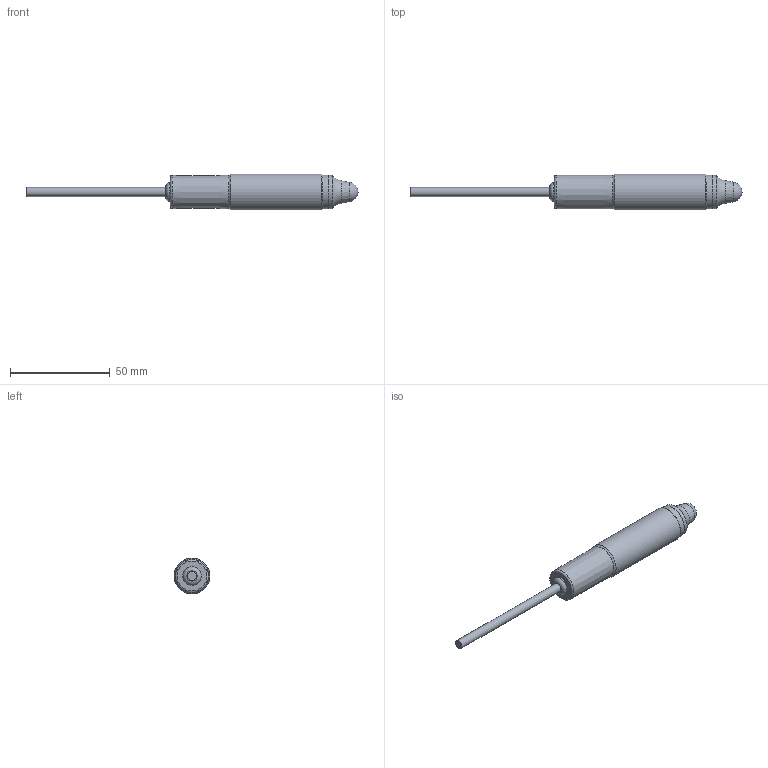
import cadquery as cq
import math

overall_length = 166.36

rod_radius = 4.53 / 2

collar_start = 70.0
collar_face_radius = 5.3 / 2
collar_radius = 9.3 / 2
collar_rounding = collar_radius - collar_face_radius

sleeve_start = 72.4
sleeve_face_radius = 15.0 / 2
sleeve_front_radius = 16.64 / 2
sleeve_rounding = sleeve_front_radius - sleeve_face_radius
sleeve_back_radius = 16.8 / 2

grip_start = 101.5
grip_end = 148.6
grip_radius = 18.0 / 2
grip_front_bevel_length = 1.0
grip_back_bevel_length = 0.6

tail_radius = 16.8 / 2
tail_band_end = 151.5
tail_end = 153.5
tail_end_radius = 16.6 / 2

nose_radius = 5.0
neck_start = 158.0
neck_half_angle = math.radians(10)

nose_center = overall_length - nose_radius
neck_end = nose_center + nose_radius * math.sin(neck_half_angle)
neck_end_radius = nose_radius * math.cos(neck_half_angle)
neck_start_radius = neck_end_radius + (neck_end - neck_start) * math.tan(neck_half_angle)


def quarter_round(profile, start_x, start_radius, rounding):
    """Add a convex quarter arc from an end face to a side that is parallel to the axis."""
    half_way = rounding * math.sin(math.radians(45))
    middle = (start_x + rounding - half_way, start_radius + half_way)
    end = (start_x + rounding, start_radius + rounding)
    return profile.threePointArc(middle, end)


def add_rod_and_collar(profile):
    """Add the rod's end face and side, then the collar."""
    profile = profile.lineTo(0, rod_radius).lineTo(collar_start, rod_radius)
    profile = profile.lineTo(collar_start, collar_face_radius)
    profile = quarter_round(profile, collar_start, collar_face_radius, collar_rounding)
    return profile.lineTo(sleeve_start, collar_radius)


def add_sleeve(profile):
    """Add the sleeve's end face, its rounded rim and its side."""
    profile = profile.lineTo(sleeve_start, sleeve_face_radius)
    profile = quarter_round(profile, sleeve_start, sleeve_face_radius, sleeve_rounding)
    return profile.lineTo(grip_start, sleeve_back_radius)


def add_grip(profile):
    """Add the grip between its two bevels."""
    profile = profile.lineTo(grip_start + grip_front_bevel_length, grip_radius)
    profile = profile.lineTo(grip_end - grip_back_bevel_length, grip_radius)
    return profile.lineTo(grip_end, tail_radius)


def add_tail_and_nose(profile):
    """Add the stepped tail ring, the concave flare into the neck, and the nose."""
    profile = profile.lineTo(tail_band_end, tail_radius)
    profile = profile.lineTo(tail_band_end, tail_end_radius)
    profile = profile.lineTo(tail_end, tail_end_radius)

    flare_length = neck_start - tail_end
    flare_drop = tail_end_radius - neck_start_radius
    half_turn = math.atan2(flare_drop, flare_length) - neck_half_angle
    sagitta = math.hypot(flare_length, flare_drop) / 2 * math.tan(half_turn / 2)
    chord_angle = neck_half_angle + half_turn
    flare_middle = (
        (tail_end + neck_start) / 2 - sagitta * math.sin(chord_angle),
        (tail_end_radius + neck_start_radius) / 2 - sagitta * math.cos(chord_angle),
    )
    profile = profile.threePointArc(flare_middle, (neck_start, neck_start_radius))

    profile = profile.lineTo(neck_end, neck_end_radius)
    nose_middle_angle = (neck_half_angle + math.radians(90)) / 2
    nose_middle = (
        nose_center + nose_radius * math.sin(nose_middle_angle),
        nose_radius * math.cos(nose_middle_angle),
    )
    return profile.threePointArc(nose_middle, (overall_length, 0))


profile = cq.Workplane("XY").moveTo(0, 0)
profile = add_rod_and_collar(profile)
profile = add_sleeve(profile)
profile = add_grip(profile)
profile = add_tail_and_nose(profile)
result = profile.close().revolve(360, (0, 0, 0), (1, 0, 0))